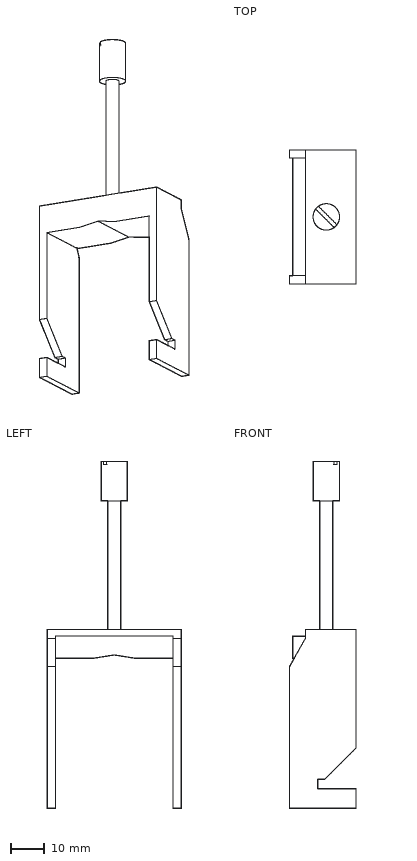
import cadquery as cq

depth = 20.15
width = 40.6
bracket_height = 54.2
wall = 2.55
plate_thickness = 2.1
front_setback = 4.8
slope_top = 51.4
slope_bottom = 42.9

hook_height = 6.0
hook_gap = 2.8
hook_floor_x = 8.6
hook_mouth_x = 10.65

bar_front_x = 1.0
bar_height = 6.7
vee_width = 12.5
vee_depth = 1.0

total_height = 105.0
screw_x = 11.15
shank_diameter = 4.0
head_diameter = 8.0
head_height = 12.0
slot_width = 1.2
slot_depth = 1.0
slot_angle = -45.0

bar_top = bracket_height - plate_thickness
bar_bottom = bar_top - bar_height


def make_arm(start_y):
    """Side arm with a sloped front corner and a rear hook, starting at start_y."""
    gap_top = hook_height + hook_gap
    ramp_top = gap_top + depth - hook_mouth_x
    outline = [
        (0, 0),
        (depth, 0),
        (depth, hook_height),
        (hook_floor_x, hook_height),
        (hook_floor_x, gap_top),
        (hook_mouth_x, gap_top),
        (depth, ramp_top),
        (depth, bracket_height),
        (front_setback, bracket_height),
        (front_setback, slope_top),
        (0, slope_bottom),
    ]
    arm = cq.Workplane("XZ").polyline(outline).close().extrude(-wall)
    return arm.translate((0, start_y, 0))


def make_top_plate():
    """Flat plate joining the tops of the arms."""
    plate = cq.Workplane("XY").box(
        depth - front_setback, width, plate_thickness, centered=(False, True, False)
    )
    return plate.translate((front_setback, 0, bar_top))


def make_bar():
    """Bar between the arms, with a shallow vee along its underside."""
    half_span = width / 2 - wall
    outline = [
        (-half_span, bar_bottom),
        (-vee_width / 2, bar_bottom),
        (0, bar_bottom + vee_depth),
        (vee_width / 2, bar_bottom),
        (half_span, bar_bottom),
        (half_span, bar_top),
        (-half_span, bar_top),
    ]
    bar = cq.Workplane("YZ").polyline(outline).close().extrude(depth - bar_front_x)
    return bar.translate((bar_front_x, 0, 0))


def make_screw():
    """Cylindrical slotted head on a shank that ends in the top plate."""
    head_bottom = total_height - head_height
    shank = (
        cq.Workplane("XY")
        .workplane(offset=bar_top)
        .circle(shank_diameter / 2)
        .extrude(head_bottom - bar_top)
    )
    head = (
        cq.Workplane("XY")
        .workplane(offset=head_bottom)
        .circle(head_diameter / 2)
        .extrude(head_height)
    )
    slot = (
        cq.Workplane("XY")
        .box(2 * head_diameter, slot_width, slot_depth, centered=(True, True, False))
        .rotate((0, 0, 0), (0, 0, 1), slot_angle)
        .translate((0, 0, total_height - slot_depth))
    )
    return shank.union(head.cut(slot)).translate((screw_x, 0, 0))


result = make_top_plate().union(make_bar())
for arm_start in (-width / 2, width / 2 - wall):
    result = result.union(make_arm(arm_start))
result = result.union(make_screw())